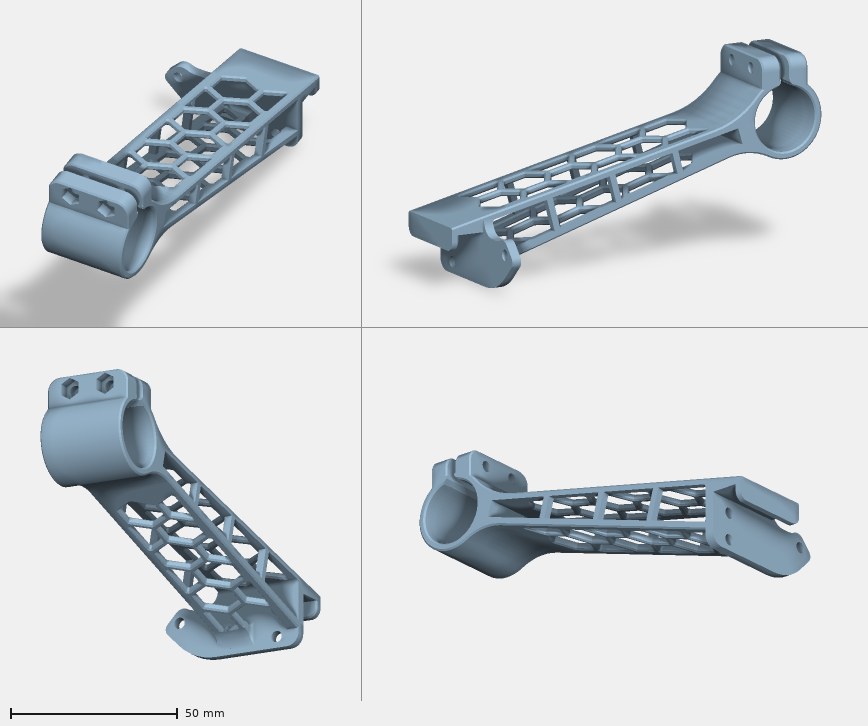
import cadquery as cq
import math


total_width = 45.31
total_height = 59.16
width = 27.3
half_width = width / 2
edge_chamfer = 0.5
overrun = 10.0

clamp_radius = 12.5
bore_radius = 10.2
lug_top = 19.0
lug_outer_y = 7.7
slot_width = 3.0
lug_thickness = lug_outer_y - slot_width / 2
slot_flare_half = 2.8
slot_flare_top = 11.2
slot_flare_bottom = 9.9
lug_corner_radius = 4.0
bolt_diameter = 3.5
bolt_spacing = 12.0
bolt_z = 15.0
nut_across_flats = 5.8
nut_depth = 3.5

arm_end_y = 113.8
top_end_z = -21.2
top_slope = math.radians(12.76)
bottom_slope = math.radians(17.1)
axis_slope = math.radians(15.0)
top_blend_radius = 26.0
bottom_blend_radius = 18.0
top_skin = 2.0
bottom_skin = 2.35
cavity_end_y = 15.35
cavity_end_z = -3.9
pillar_x = 2.4
pillar_thickness = 2.0
first_pillar_y = 36.65
pillar_pitch_y = 21.2
pillar_count = 3

hex_pitch = 14.3
hex_across_flats = 12.3
hex_rows = 6
first_row_y = 92.1
hex_corner_radius = 0.5
hex_chamfer = 0.5

plate_y = 100.0
plate_thickness = 3.0
plate_back_y = plate_y + plate_thickness
plate_bottom_z = lug_top - total_height
plate_corner_radius = 4.0
ear_tip_x = half_width - total_width
ear_tip_z = -29.4
ear_tip_radius = 2.4
ear_top_radius = 3.3
ear_top_center = (-25.67, -26.85)
crest_angle = math.radians(28)
ear_neck_z = -24.6
ear_side_radius = 5.0
plate_side_step = 0.2
plate_top_z = -20.0
ear_bottom_radius = 17.5
screw_holes = [(-26.93, -27.95), (6.13, -27.95), (6.13, -36.66)]
arm_bottom_at_plate_z = -34.9

overhang_bottom_z = -23.5
lip_bottom_z = -28.6
lip_thickness = 2.4
lip_corner_radius = 3.0
lip_chamfer = 0.5

joint_fillet = 1.2
gusset_radius = 5.0
gusset_sweep_radius = 9.85
access_left_x = hex_pitch / 4 - hex_across_flats / 2


def yz_prism(points, x_min, x_max):
    """Prism along X from a polygon of (y, z) points."""
    return cq.Workplane("YZ", origin=(x_min, 0, 0)).polyline(points).close().extrude(x_max - x_min)


def box(x_range, y_range, z_range):
    """Axis-aligned box from three (min, max) pairs."""
    size = [high - low for low, high in (x_range, y_range, z_range)]
    corner = (x_range[0], y_range[0], z_range[0])
    return cq.Workplane("XY").box(*size, centered=False).translate(corner)


def top_z(y):
    return top_end_z + (arm_end_y - y) * math.tan(top_slope)


def bottom_z(y):
    return arm_bottom_at_plate_z + (plate_y - y) * math.tan(bottom_slope)


def blend_center(slope, line_at_axis, radius, side):
    """Centre of an arc tangent to a sloping arm line and to the outside of the clamp.

    line_at_axis is the line's height at y = 0, side is +1 above the arm and -1 below it.
    """
    offset_line = line_at_axis + side * radius / math.cos(slope)
    reach = clamp_radius + radius
    along = offset_line * math.sin(slope)
    distance = offset_line * math.cos(slope)
    run = along + math.sqrt(reach**2 - distance**2)
    return run * math.cos(slope), offset_line - run * math.sin(slope)


def blend_points(slope, line_at_axis, radius, side):
    """Start on the arm line, middle and end on the clamp of one blend arc."""
    y, z = blend_center(slope, line_at_axis, radius, side)
    start = (y - side * radius * math.sin(slope), z - side * radius * math.cos(slope))
    shrink = clamp_radius / math.hypot(y, z)
    end = (y * shrink, z * shrink)
    chord = ((start[0] + end[0]) / 2 - y, (start[1] + end[1]) / 2 - z)
    scale = radius / math.hypot(*chord)
    middle = (y + chord[0] * scale, z + chord[1] * scale)
    return start, middle, end


def make_arm_and_ring():
    """Solid arm and clamp ring with chamfered side edges."""
    beyond_y = arm_end_y + overrun
    top_start, top_middle, top_end = blend_points(top_slope, top_z(0), top_blend_radius, 1)
    low_start, low_middle, low_end = blend_points(bottom_slope, bottom_z(0), bottom_blend_radius, -1)
    body = (
        cq.Workplane("YZ", origin=(-half_width, 0, 0))
        .moveTo(beyond_y, top_z(beyond_y))
        .lineTo(*top_start)
        .threePointArc(top_middle, top_end)
        .threePointArc((-clamp_radius, 0), low_end)
        .threePointArc(low_middle, low_start)
        .lineTo(beyond_y, bottom_z(beyond_y))
        .close()
        .extrude(width)
        .faces("<X or >X")
        .chamfer(edge_chamfer)
    )
    z_low = bottom_z(beyond_y)
    full_x = (-half_width, half_width)
    body = body.cut(box(full_x, (arm_end_y, beyond_y), (z_low, 0)))
    return body.cut(box(full_x, (plate_y, beyond_y), (z_low, overhang_bottom_z)))


def make_lug(y_min):
    lug = box((-half_width, half_width), (y_min, y_min + lug_thickness), (0, lug_top))
    lug = lug.edges("|Y and >Z").fillet(lug_corner_radius)
    return lug.faces("<Y or >Y").edges("not <Z").chamfer(edge_chamfer)


def cut_clamp(body):
    """Bore, clamping slot, bolt holes and nut pockets."""
    bore = cq.Workplane("YZ", origin=(-half_width, 0, 0)).circle(bore_radius).extrude(width)
    rim = cq.Workplane("YZ", origin=(-half_width, 0, 0)).circle(bore_radius + edge_chamfer)
    rim = rim.extrude(edge_chamfer, taper=45)
    slot = yz_prism(
        [
            (-slot_flare_half, slot_flare_bottom),
            (-slot_width / 2, slot_flare_top),
            (-slot_width / 2, lug_top),
            (slot_width / 2, lug_top),
            (slot_width / 2, slot_flare_top),
            (slot_flare_half, slot_flare_bottom),
            (0, 0),
        ],
        -half_width,
        half_width,
    )
    body = body.cut(bore).cut(rim).cut(rim.mirror("YZ")).cut(slot)
    nut_corners = nut_across_flats / math.cos(math.pi / 6)
    for x in (-bolt_spacing / 2, bolt_spacing / 2):
        front = cq.Workplane("XZ", origin=(x, -lug_outer_y, bolt_z))
        body = body.cut(front.circle(bolt_diameter / 2).extrude(-2 * lug_outer_y))
        pocket = front.transformed(rotate=(0, 0, 90)).polygon(6, nut_corners).extrude(-nut_depth)
        body = body.cut(pocket)
    return body


def make_cavity():
    """Space between the two skins, open at both sides, with the side pillars left standing."""
    wall_lean = math.tan(axis_slope)
    top_rise = top_skin / math.cos(top_slope)
    bottom_rise = bottom_skin / math.cos(bottom_slope)

    def wall_y(z):
        return cavity_end_y + (z - cavity_end_z) * wall_lean

    end_top_y = wall_y(top_z(cavity_end_y) - top_rise)
    end_bottom_y = wall_y(bottom_z(cavity_end_y) + bottom_rise)
    cavity = yz_prism(
        [
            (end_top_y, top_z(end_top_y) - top_rise),
            (plate_y, top_z(plate_y) - top_rise),
            (plate_y, bottom_z(plate_y) + bottom_rise),
            (end_bottom_y, bottom_z(end_bottom_y) + bottom_rise),
        ],
        -half_width,
        half_width,
    )
    for i in range(pillar_count):
        y = first_pillar_y + i * pillar_pitch_y
        z = (top_z(y) + bottom_z(y)) / 2
        pillar = cq.Workplane("XY").box(pillar_x, pillar_thickness, top_z(y) - bottom_z(y) + overrun)
        pillar = pillar.rotate((0, 0, 0), (1, 0, 0), -math.degrees(axis_slope))
        for x in (-half_width + pillar_x / 2, half_width - pillar_x / 2):
            cavity = cavity.cut(pillar.translate((x, y, z)))
    return cavity


def opening(outline, skin):
    """Cutter for a rounded opening through a skin lying below z = 0, chamfered at both faces.

    It runs past the inner face so that it also notches the fillets at the plate.
    """

    def rounded():
        wire = cq.Workplane("XY").polyline(outline).close()
        return wire.offset2D(-hex_corner_radius).offset2D(hex_corner_radius)

    straight = rounded().extrude(-skin)
    flare = rounded().offset2D(hex_chamfer).extrude(-hex_chamfer, taper=45)
    far_flare = flare.mirror("XY").translate((0, 0, -skin))
    notch = rounded().offset2D(hex_chamfer).extrude(-joint_fillet).translate((0, 0, -skin))
    return straight.union(flare).union(far_flare).union(notch).val()


def hexagon_part(first_angle, last_angle):
    """Corners of a hexagon with corners on +-Y, from one corner's angle to another's."""
    radius = hex_across_flats / math.sqrt(3)
    angles = [math.radians(a) for a in range(first_angle, last_angle + 1, 60)]
    return [(radius * math.cos(a), radius * math.sin(a)) for a in angles]


def cut_lattice(body, plane, skin, phase):
    """Rows of one full and one half hexagon; phase is the side of the first row's full hexagon."""
    full = opening(hexagon_part(-90, 210), skin)
    halves = {
        1: opening(hexagon_part(-90, 90), skin),
        -1: opening(hexagon_part(90, 270), skin),
    }
    row_pitch = hex_pitch * math.sqrt(3) / 2
    row_step = -row_pitch if plane.yDir.y > 0 else row_pitch
    cutters = []
    for row in range(hex_rows):
        side = phase if row % 2 == 0 else -phase
        y = row * row_step
        cutters.append(full.translate(cq.Vector(side * hex_pitch / 4, y, 0)))
        cutters.append(halves[side].translate(cq.Vector(-side * hex_pitch * 3 / 4, y, 0)))
    placed = [cutter.moved(plane.location) for cutter in cutters]
    return body.cut(cq.Workplane(cq.Compound.makeCompound(placed)))


def cut_lattices(body):
    top_normal = (0, math.sin(top_slope), math.cos(top_slope))
    top_plane = cq.Plane((0, first_row_y, top_z(first_row_y)), (1, 0, 0), top_normal)
    body = cut_lattice(body, top_plane, top_skin, -1)
    low_normal = (0, -math.sin(bottom_slope), -math.cos(bottom_slope))
    low_plane = cq.Plane((0, first_row_y, bottom_z(first_row_y)), (1, 0, 0), low_normal)
    return cut_lattice(body, low_plane, bottom_skin, 1)


def cut_screw_access(body):
    """Extend the lower skin's first full hexagon straight to the plate."""
    slot = box(
        (access_left_x, access_left_x + hex_across_flats),
        (first_row_y, plate_y),
        (bottom_z(plate_y) - bottom_skin, bottom_z(first_row_y) + 2 * bottom_skin),
    )
    return body.cut(slot)


def corner_fillet(corner, first_direction, second_direction, radius):
    """Concave fillet section in the corner between two directions, as start, middle and end."""
    cosine = sum(u * v for u, v in zip(first_direction, second_direction))
    half_angle = math.acos(cosine) / 2
    setback = radius / math.tan(half_angle)
    start = tuple(c + setback * u for c, u in zip(corner, first_direction))
    end = tuple(c + setback * v for c, v in zip(corner, second_direction))
    bisector = [u + v for u, v in zip(first_direction, second_direction)]
    reach = (radius / math.sin(half_angle) - radius) / math.hypot(*bisector)
    middle = tuple(c + reach * b for c, b in zip(corner, bisector))
    return start, middle, end


def make_top_fillet():
    """Fillet between the underside of the upper skin and the plate."""
    corner = (plate_y, top_z(plate_y) - top_skin / math.cos(top_slope))
    along_skin = (-math.cos(top_slope), math.sin(top_slope))
    start, middle, end = corner_fillet(corner, along_skin, (0, -1), joint_fillet)
    section = cq.Workplane("YZ", origin=(-half_width, 0, 0)).moveTo(*corner).lineTo(*start)
    return section.threePointArc(middle, end).close().extrude(width)


def make_lower_joint():
    """Filleted root of the lower skin on the plate, from the arm's side to the screw access."""
    left_x = -half_width
    right_x = access_left_x
    back_y = plate_back_y
    upper_corner = (plate_y, bottom_z(plate_y) + bottom_skin / math.cos(bottom_slope))
    lower_corner = (plate_y, bottom_z(plate_y))
    along_skin = (-math.cos(bottom_slope), math.sin(bottom_slope))
    top_start, top_middle, top_end = corner_fillet(upper_corner, along_skin, (0, 1), joint_fillet)
    low_start, low_middle, low_end = corner_fillet(lower_corner, along_skin, (0, -1), gusset_radius)
    side_section = (
        cq.Workplane("YZ", origin=(left_x - joint_fillet, 0, 0))
        .moveTo(back_y, top_end[1])
        .lineTo(*top_end)
        .threePointArc(top_middle, top_start)
        .lineTo(*low_start)
        .threePointArc(low_middle, low_end)
        .lineTo(back_y, low_end[1])
        .close()
        .extrude(right_x - left_x + 2 * joint_fillet)
    )
    root_start_y = low_start[0] - joint_fillet
    left_corner = (left_x, plate_y)
    right_corner = (right_x, plate_y)
    flare_start, flare_middle, flare_end = corner_fillet(left_corner, (0, -1), (-1, 0), joint_fillet)
    exit_start, exit_middle, exit_end = corner_fillet(right_corner, (1, 0), (0, -1), joint_fillet)
    plan = (
        cq.Workplane("XY", origin=(0, 0, low_end[1]))
        .moveTo(left_x, root_start_y)
        .lineTo(*flare_start)
        .threePointArc(flare_middle, flare_end)
        .lineTo(flare_end[0], back_y)
        .lineTo(exit_start[0], back_y)
        .lineTo(*exit_start)
        .threePointArc(exit_middle, exit_end)
        .lineTo(right_x, root_start_y)
        .close()
        .extrude(top_end[1] - low_end[1])
    )
    outline_left = left_x - joint_fillet
    sweep_height = lower_corner[1] - low_end[1]
    sweep_angle = math.acos(1 - sweep_height / gusset_sweep_radius)
    sweep_end_x = outline_left + gusset_sweep_radius * math.sin(sweep_angle)
    sweep_middle = (
        sweep_end_x - gusset_sweep_radius * math.sin(sweep_angle / 2),
        low_end[1] + gusset_sweep_radius * (1 - math.cos(sweep_angle / 2)),
    )
    outline_top = top_end[1]
    front = (
        cq.Workplane("XZ", origin=(0, root_start_y, 0))
        .moveTo(outline_left, outline_top)
        .lineTo(outline_left, lower_corner[1])
        .threePointArc(sweep_middle, (sweep_end_x, low_end[1]))
        .lineTo(right_x + joint_fillet, low_end[1])
        .lineTo(right_x + joint_fillet, outline_top)
        .close()
        .extrude(root_start_y - back_y)
    )
    return side_section.intersect(plan).intersect(front)


def make_plate():
    """Mounting plate with a side ear."""
    tip_x = ear_tip_x + ear_tip_radius
    diagonal = math.sqrt(0.5)
    tip_step = ear_tip_radius * diagonal
    top_x, top_center_z = ear_top_center
    top_step = ear_top_radius * diagonal
    crest_z = top_center_z + ear_top_radius
    crest_end = (
        top_x + ear_top_radius * math.sin(crest_angle),
        top_center_z + ear_top_radius * math.cos(crest_angle),
    )
    dip_radius = (crest_end[1] - ear_neck_z) / (1 - math.cos(crest_angle))
    neck_x = crest_end[0] + dip_radius * math.sin(crest_angle)
    side_x = -half_width - plate_side_step
    side_step = ear_side_radius * (1 - diagonal)
    neck_end_x = side_x - ear_side_radius
    side_top_z = ear_neck_z + ear_side_radius
    arc_drop = ear_bottom_radius * (1 - diagonal)
    arc_start_z = plate_bottom_z + arc_drop
    arc_start_x = tip_x - tip_step + (ear_tip_z - tip_step - arc_start_z)
    arc_end_x = arc_start_x + ear_bottom_radius * diagonal
    arc_half_angle = math.pi / 8
    arc_middle = (
        arc_end_x - ear_bottom_radius * math.sin(arc_half_angle),
        plate_bottom_z + ear_bottom_radius * (1 - math.cos(arc_half_angle)),
    )
    corner_step = plate_corner_radius * (1 - diagonal)
    plate = (
        cq.Workplane("XZ", origin=(0, plate_y, 0))
        .moveTo(half_width, plate_top_z)
        .lineTo(side_x, plate_top_z)
        .lineTo(side_x, side_top_z)
        .threePointArc((side_x - side_step, ear_neck_z + side_step), (neck_end_x, ear_neck_z))
        .lineTo(neck_x, ear_neck_z)
        .tangentArcPoint(crest_end, relative=False)
        .threePointArc((top_x, crest_z), (top_x - top_step, top_center_z + top_step))
        .lineTo(tip_x - tip_step, ear_tip_z + tip_step)
        .threePointArc((ear_tip_x, ear_tip_z), (tip_x - tip_step, ear_tip_z - tip_step))
        .lineTo(arc_start_x, arc_start_z)
        .threePointArc(arc_middle, (arc_end_x, plate_bottom_z))
        .lineTo(half_width - plate_corner_radius, plate_bottom_z)
        .threePointArc(
            (half_width - corner_step, plate_bottom_z + corner_step),
            (half_width, plate_bottom_z + plate_corner_radius),
        )
        .close()
        .extrude(-plate_thickness)
    )
    holes = cq.Workplane("XZ", origin=(0, plate_y, 0)).pushPoints(screw_holes)
    return plate.cut(holes.circle(bolt_diameter / 2).extrude(-plate_thickness))


def make_lip():
    lip = box(
        (-half_width, half_width),
        (arm_end_y - lip_thickness, arm_end_y),
        (lip_bottom_z, overhang_bottom_z),
    )
    lip = lip.edges("|Y and <Z").fillet(lip_corner_radius)
    return lip.faces("<Y").edges("not >Z").chamfer(lip_chamfer)


result = make_arm_and_ring()
result = result.union(make_lug(slot_width / 2)).union(make_lug(-lug_outer_y))
result = cut_clamp(result)
result = result.cut(make_cavity())
result = cut_screw_access(result)
result = result.union(make_top_fillet()).union(make_lower_joint())
result = cut_lattices(result)
result = result.union(make_plate()).union(make_lip())